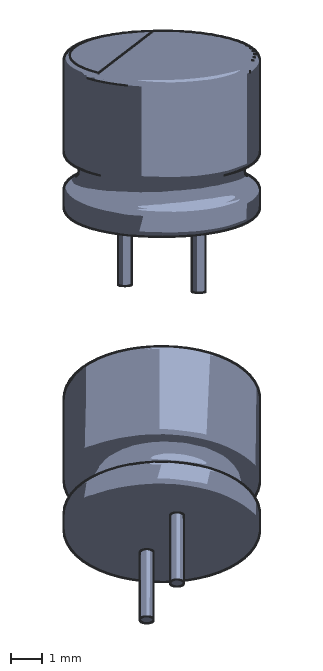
import cadquery as cq
import math

total_height = 7.72
can_radius = 3.15
pin_length = 2.5
pin_diameter = 0.45
pin_spacing = 2.5

edge_radius = 0.2
groove_radius = 0.49
groove_height = 1.38

mark_edge_x = -1.21
mark_thickness = 0.1

face_radius = can_radius - edge_radius
groove_z = pin_length + groove_height

rim_center_offset = math.sqrt((groove_radius + edge_radius) ** 2 - edge_radius**2)
tangent_fraction = groove_radius / (groove_radius + edge_radius)
tangent_radius = can_radius - edge_radius * tangent_fraction
tangent_offset = rim_center_offset * tangent_fraction


def make_mark():
    """Circular segment of the top face on the -X side."""
    half_chord = math.sqrt(face_radius**2 - mark_edge_x**2)
    return (
        cq.Workplane("XY", origin=(0, 0, total_height - mark_thickness))
        .moveTo(mark_edge_x, -half_chord)
        .threePointArc((-face_radius, 0), (mark_edge_x, half_chord))
        .close()
        .extrude(mark_thickness)
    )


def make_can(mark):
    """Revolved can with rounded rims, a groove and a recess for the mark."""
    diagonal = edge_radius * math.sqrt(0.5)
    rim_half_angle = math.atan2(rim_center_offset, edge_radius) / 2
    rim_mid_radius = face_radius + edge_radius * math.cos(rim_half_angle)
    rim_mid_offset = rim_center_offset - edge_radius * math.sin(rim_half_angle)
    bottom_edge_z = pin_length + edge_radius
    top_edge_z = total_height - edge_radius

    can = (
        cq.Workplane("XZ")
        .moveTo(0, pin_length)
        .lineTo(face_radius, pin_length)
        .threePointArc(
            (face_radius + diagonal, bottom_edge_z - diagonal),
            (can_radius, bottom_edge_z),
        )
        .lineTo(can_radius, groove_z - rim_center_offset)
        .threePointArc(
            (rim_mid_radius, groove_z - rim_mid_offset),
            (tangent_radius, groove_z - tangent_offset),
        )
        .threePointArc(
            (can_radius - groove_radius, groove_z),
            (tangent_radius, groove_z + tangent_offset),
        )
        .threePointArc(
            (rim_mid_radius, groove_z + rim_mid_offset),
            (can_radius, groove_z + rim_center_offset),
        )
        .lineTo(can_radius, top_edge_z)
        .threePointArc(
            (face_radius + diagonal, top_edge_z + diagonal),
            (face_radius, total_height),
        )
        .lineTo(0, total_height)
        .close()
        .revolve(360, (0, 0, 0), (0, 1, 0))
    )
    return can.cut(mark)


def make_pin(x):
    """Round lead ending at the can bottom."""
    return cq.Workplane("XY").center(x, 0).circle(pin_diameter / 2).extrude(pin_length)


mark = make_mark()
can = make_can(mark)
pins = [make_pin(side * pin_spacing / 2) for side in (-1, 1)]

result = cq.Compound.makeCompound([can.val(), mark.val(), *[pin.val() for pin in pins]])